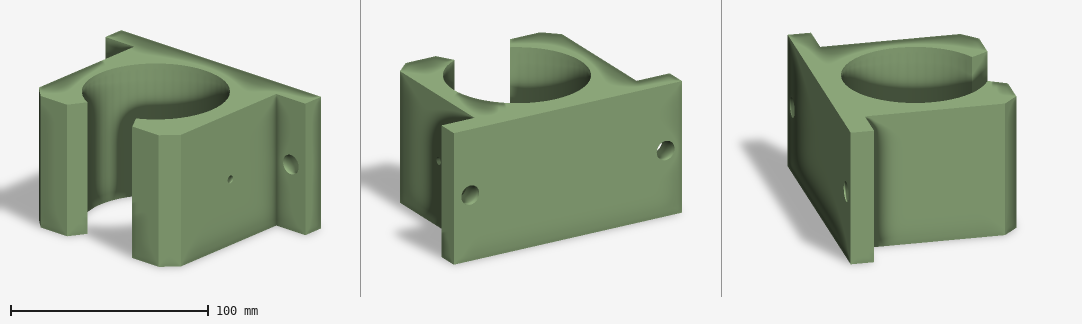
import cadquery as cq
import math

plate_width = 135.0
plate_thickness = 12.2
depth = 93.0
height = 72.0

body_width = 95.8
chamfer_across = 8.1
chamfer_deep = 7.8

bore_diameter = 75.0
bore_back_wall = 12.4
throat_width = 32.8
mouth_width = 44.0

mount_hole_diameter = 10.5
mount_hole_spacing = 115.5
side_hole_diameter = 4.2
side_hole_from_back = 47.2

bore_radius = bore_diameter / 2
bore_y = -(bore_back_wall + bore_radius)
throat_y = bore_y - math.sqrt(bore_radius**2 - (throat_width / 2) ** 2)


def make_plate():
    plate = cq.Workplane("XY").box(plate_width, plate_thickness, height)
    return plate.translate((0, -plate_thickness / 2, 0))


def make_body():
    side = body_width / 2
    front_corner = side - chamfer_across
    outline = [
        (-side, 0),
        (-side, chamfer_deep - depth),
        (-front_corner, -depth),
        (front_corner, -depth),
        (side, chamfer_deep - depth),
        (side, 0),
    ]
    return cq.Workplane("XY").polyline(outline).close().extrude(height / 2, both=True)


def make_bore():
    return cq.Workplane("XY").center(0, bore_y).circle(bore_radius).extrude(height / 2, both=True)


def make_mouth():
    outline = [
        (-throat_width / 2, bore_y),
        (-throat_width / 2, throat_y),
        (-mouth_width / 2, -depth),
        (mouth_width / 2, -depth),
        (throat_width / 2, throat_y),
        (throat_width / 2, bore_y),
    ]
    return cq.Workplane("XY").polyline(outline).close().extrude(height / 2, both=True)


def make_mount_holes():
    centres = [(-mount_hole_spacing / 2, 0), (mount_hole_spacing / 2, 0)]
    return cq.Workplane("XZ").pushPoints(centres).circle(mount_hole_diameter / 2).extrude(plate_thickness)


def make_side_hole():
    """Small hole through the +X wall only, at mid-height."""
    wall = cq.Workplane("YZ").center(-side_hole_from_back, 0)
    return wall.circle(side_hole_diameter / 2).extrude(body_width / 2)


result = make_plate().union(make_body())
for cutter in (make_bore(), make_mouth(), make_mount_holes(), make_side_hole()):
    result = result.cut(cutter)